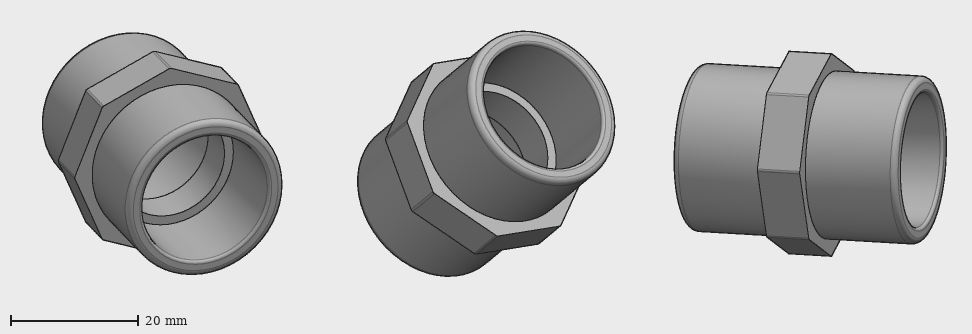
import cadquery as cq
import math

length = 37.0
barrel_diameter = 26.5
socket_diameter = 21.3
bore_diameter = 18.3

collar_width = 7.0
across_flats = 30.0
collar_sides = 8
corner_radius = 0.5

outer_rim_radius = 1.0
inner_rim_radius = 0.5

socket_depth = (length - collar_width) / 2


def cylinder_along_x(diameter, start, height):
    return cq.Workplane("YZ").workplane(offset=start).circle(diameter / 2).extrude(height)


def make_barrel():
    barrel = cylinder_along_x(barrel_diameter, -length / 2, length)
    return barrel.faces("<X or >X").edges().fillet(outer_rim_radius)


def make_collar():
    across_corners = across_flats / math.cos(math.pi / collar_sides)
    collar = (
        cq.Workplane("YZ")
        .workplane(offset=-collar_width / 2)
        .polygon(collar_sides, across_corners)
        .extrude(collar_width)
    )
    return collar.edges("|X").fillet(corner_radius)


def make_socket_cutter():
    """Socket at the -X end, flared by the rounding of its mouth."""
    mouth = -length / 2
    socket_radius = socket_diameter / 2
    arc_shift = inner_rim_radius * (1 - math.sqrt(0.5))
    return (
        cq.Workplane("XY")
        .moveTo(mouth, 0)
        .lineTo(mouth, socket_radius + inner_rim_radius)
        .threePointArc(
            (mouth + arc_shift, socket_radius + arc_shift),
            (mouth + inner_rim_radius, socket_radius),
        )
        .lineTo(mouth + socket_depth, socket_radius)
        .lineTo(mouth + socket_depth, 0)
        .close()
        .revolve(360, (0, 0, 0), (1, 0, 0))
    )


socket = make_socket_cutter()
result = make_barrel().union(make_collar())
result = result.cut(cylinder_along_x(bore_diameter, -length / 2, length))
for end_socket in (socket, socket.mirror("YZ")):
    result = result.cut(end_socket)